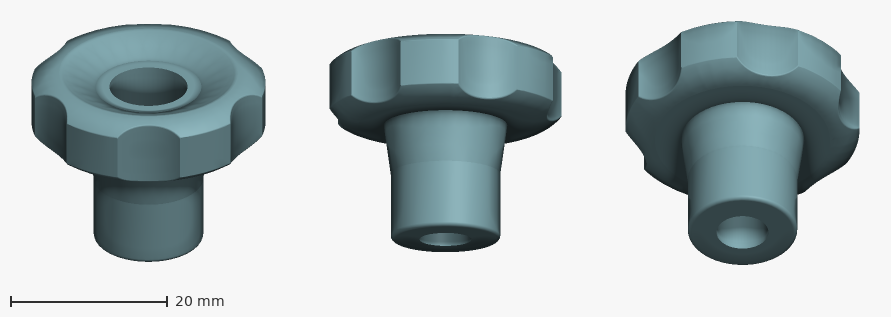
import cadquery as cq
import math

height = 24.0
head_radius = 14.95
head_base = 15.0

dome_radius = 5.0
top_dome_start = 11.42
under_dome_start = 11.18

stem_radius = 14.0 / 2
neck_radius = 7.9
neck_base = 8.58
stem_fillet = 0.5

dish_floor_radius = 6.75
dish_slope = math.radians(25)
dish_lip_radius = 1.0

bore_radius = 10.0 / 2
bore_floor = height / 2
hole_radius = 6.65 / 2
hole_chamfer = 1.02

scallop_count = 6
scallop_radius = 7.0
scallop_depth_radius = 13.15
edge_fillet = 0.2


def dome_drop(start_radius, radius):
    """Depth of a dome surface at the given radius, measured from where it starts."""
    return dome_radius - math.sqrt(dome_radius**2 - (radius - start_radius) ** 2)


def dome_middle(start_radius):
    """Radius of a point half way along a dome."""
    return (start_radius + head_radius) / 2


def make_head():
    """Disc with domed faces, scalloped around the rim, with its edges rounded."""
    top_mid = dome_middle(top_dome_start)
    under_mid = dome_middle(under_dome_start)
    rim_top = height - dome_drop(top_dome_start, head_radius)
    rim_base = head_base + dome_drop(under_dome_start, head_radius)
    disc = (
        cq.Workplane("XZ")
        .moveTo(0, head_base)
        .lineTo(under_dome_start, head_base)
        .threePointArc(
            (under_mid, head_base + dome_drop(under_dome_start, under_mid)),
            (head_radius, rim_base),
        )
        .lineTo(head_radius, rim_top)
        .threePointArc(
            (top_mid, height - dome_drop(top_dome_start, top_mid)),
            (top_dome_start, height),
        )
        .lineTo(0, height)
        .close()
        .revolve(360, (0, 0, 0), (0, 1, 0))
    )
    scallops = (
        cq.Workplane("XY")
        .workplane(offset=head_base)
        .polarArray(scallop_depth_radius + scallop_radius, 0, 360, scallop_count)
        .circle(scallop_radius)
        .extrude(height - head_base)
    )
    head = disc.cut(scallops)
    rim_outline = head.faces("%CYLINDER").edges("not |Z")
    return rim_outline.fillet(edge_fillet)


def make_stem():
    """Cylinder with a rounded foot that flares into the head."""
    return (
        cq.Workplane("XZ")
        .lineTo(stem_radius, 0)
        .lineTo(stem_radius, neck_base)
        .lineTo(neck_radius, head_base)
        .lineTo(0, head_base)
        .close()
        .revolve(360, (0, 0, 0), (0, 1, 0))
        .faces("<Z")
        .edges()
        .fillet(stem_fillet)
    )


def lip_point(slope):
    """Radius and height of the point on the dish lip where it has the given slope."""
    return (
        top_dome_start - dish_lip_radius * math.sin(slope),
        height - dish_lip_radius * (1 - math.cos(slope)),
    )


def make_cavity():
    """Dish, counterbore and chamfered through hole, all on the axis."""
    lip_inner_radius, lip_inner_height = lip_point(dish_slope)
    dish_floor = lip_inner_height - (lip_inner_radius - dish_floor_radius) * math.tan(dish_slope)
    return (
        cq.Workplane("XZ")
        .lineTo(hole_radius, 0)
        .lineTo(hole_radius, bore_floor - hole_chamfer)
        .lineTo(hole_radius + hole_chamfer, bore_floor)
        .lineTo(bore_radius, bore_floor)
        .lineTo(bore_radius, dish_floor)
        .lineTo(dish_floor_radius, dish_floor)
        .lineTo(lip_inner_radius, lip_inner_height)
        .threePointArc(lip_point(dish_slope / 2), (top_dome_start, height))
        .lineTo(0, height)
        .close()
        .revolve(360, (0, 0, 0), (0, 1, 0))
    )


result = make_head().union(make_stem()).cut(make_cavity())